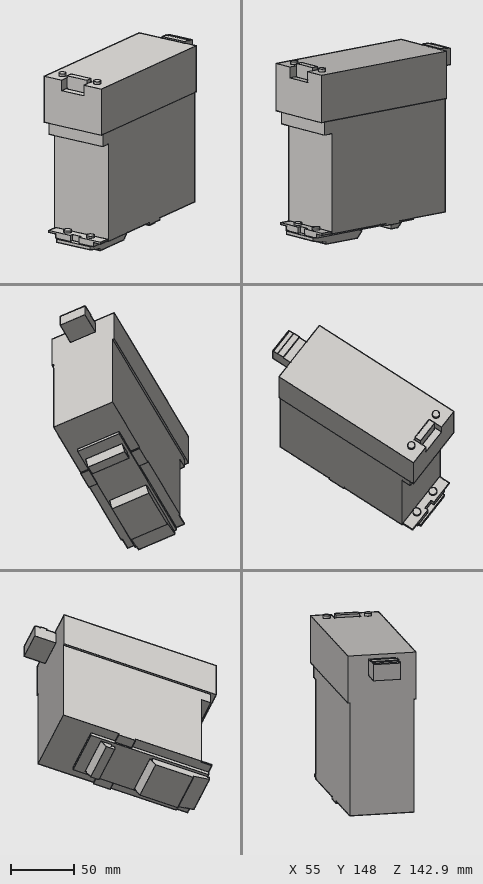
import cadquery as cq


head_width = 55.0
head_depth = 130.0
head_bottom = 91.9
head_top = 130.2
body_width = 52.1
body_front = 12.0
step_front = 4.3
step_bottom = 81.0

pad_front = 68.2
pad_back = 82.6
pad_drop = 1.8

recess_width = 21.3
recess_depth = 11.4
recess_drop = 8.7
tab_width = 19.2
tab_thickness = 5.5
button_rise = 2.2
button_diameter = 5.8
button_spacing = 33.5
button_y = 9.8

total_depth = 148.0
connector_width = 21.9
connector_offset = 0.1
connector_bottom = 113.7
connector_top = 126.8
connector_tip_top = 127.5
ridge_top = 128.2
ridge_front = 137.6
ridge_back = 143.1
tip_chamfer_depth = 1.0
tip_chamfer_drop = 0.6

plate_width = 36.5
plate_thickness = 3.4
plate_front = 2.7
plate_back = 103.2
flange_width = 50.0
flange_thickness = 1.6
notch_width = 8.1
notch_depth = 2.8

screw_diameter = 6.4
screw_height = 1.6
screw_spacing = 21.9
screw_y = 8.6

clip_width = 32.3
clip_nose_y = 1.0
clip_nose_bottom = -6.0
clip_step_y = 14.7
clip_step_bottom = -8.9
clip_bottom = -10.5
clip_heel_y = 47.0
clip_lip_y = 52.0
clip_lip_bottom = -5.2
clip_lip_top = -4.5
clip_back = 49.6
hook_tip_y = 82.0
hook_lip_y = 84.7
hook_heel_y = 89.1
hook_back = 93.8
hook_lip_top = -5.0
hook_bottom = -8.3


def block(width, y_range, z_range):
    """Centred box of the given width between two Y and two Z positions."""
    y_min, y_max = y_range
    z_min, z_max = z_range
    size = (width, y_max - y_min, z_max - z_min)
    corner = (-width / 2, y_min, z_min)
    return cq.Workplane("XY").box(*size, centered=False).translate(corner)


def side_profile(points, width, center_x=0):
    """Closed (Y, Z) outline extruded evenly about center_x."""
    solid = cq.Workplane("YZ").polyline(points).close().extrude(width / 2, both=True)
    return solid.translate((center_x, 0, 0))


def disc_pair(diameter, spacing, y, bottom, height):
    """Two upright discs placed symmetrically about the middle plane."""
    centers = [(-spacing / 2, y), (spacing / 2, y)]
    plane = cq.Workplane("XY").workplane(offset=bottom)
    return plane.pushPoints(centers).circle(diameter / 2).extrude(height)


def make_head():
    recess_floor = head_top - recess_drop
    latch_top = head_top + button_rise
    tab_front = recess_depth - tab_thickness
    head = block(head_width, (0, head_depth), (head_bottom, head_top))
    recess = block(recess_width, (0, recess_depth), (recess_floor, head_top))
    tab = block(tab_width, (tab_front, recess_depth), (recess_floor, latch_top))
    buttons = disc_pair(button_diameter, button_spacing, button_y, head_top, button_rise)
    return head.cut(recess).union(tab).union(buttons)


def make_body():
    outline = [
        (body_front, 0),
        (body_front, step_bottom),
        (step_front, step_bottom),
        (step_front, head_bottom),
        (head_depth, head_bottom),
        (head_depth, 0),
        (pad_back, 0),
        (pad_back, -pad_drop),
        (pad_front, -pad_drop),
        (pad_front, 0),
    ]
    return side_profile(outline, body_width)


def make_connector():
    outline = [
        (head_depth, connector_bottom),
        (total_depth, connector_bottom),
        (total_depth, connector_tip_top - tip_chamfer_drop),
        (total_depth - tip_chamfer_depth, connector_tip_top),
        (ridge_back, connector_tip_top),
        (ridge_back, ridge_top),
        (ridge_front, ridge_top),
        (ridge_front, connector_top),
        (head_depth, connector_top),
    ]
    return side_profile(outline, connector_width, connector_offset)


def make_foot():
    plate = block(plate_width, (plate_front, plate_back), (-plate_thickness, 0))
    flange = block(flange_width, (plate_front, body_front), (0, flange_thickness))
    notch_y = (plate_front, plate_front + notch_depth)
    notch = block(notch_width, notch_y, (-plate_thickness, flange_thickness))
    screws = disc_pair(screw_diameter, screw_spacing, screw_y, flange_thickness, screw_height)
    return plate.union(flange).cut(notch).union(screws)


def make_clip():
    outline = [
        (clip_nose_y, -plate_thickness),
        (clip_nose_y, clip_nose_bottom),
        (clip_step_y, clip_step_bottom),
        (clip_step_y, clip_bottom),
        (clip_heel_y, clip_bottom),
        (clip_lip_y, clip_lip_bottom),
        (clip_back, clip_lip_top),
        (clip_back, -plate_thickness),
    ]
    return side_profile(outline, clip_width)


def make_hook():
    outline = [
        (hook_lip_y, -plate_thickness),
        (hook_lip_y, hook_lip_top),
        (hook_tip_y, hook_lip_top),
        (hook_tip_y, hook_bottom),
        (hook_heel_y, hook_bottom),
        (hook_back, -plate_thickness),
    ]
    return side_profile(outline, clip_width)


result = make_body()
for piece in (make_head(), make_connector(), make_foot(), make_clip(), make_hook()):
    result = result.union(piece)